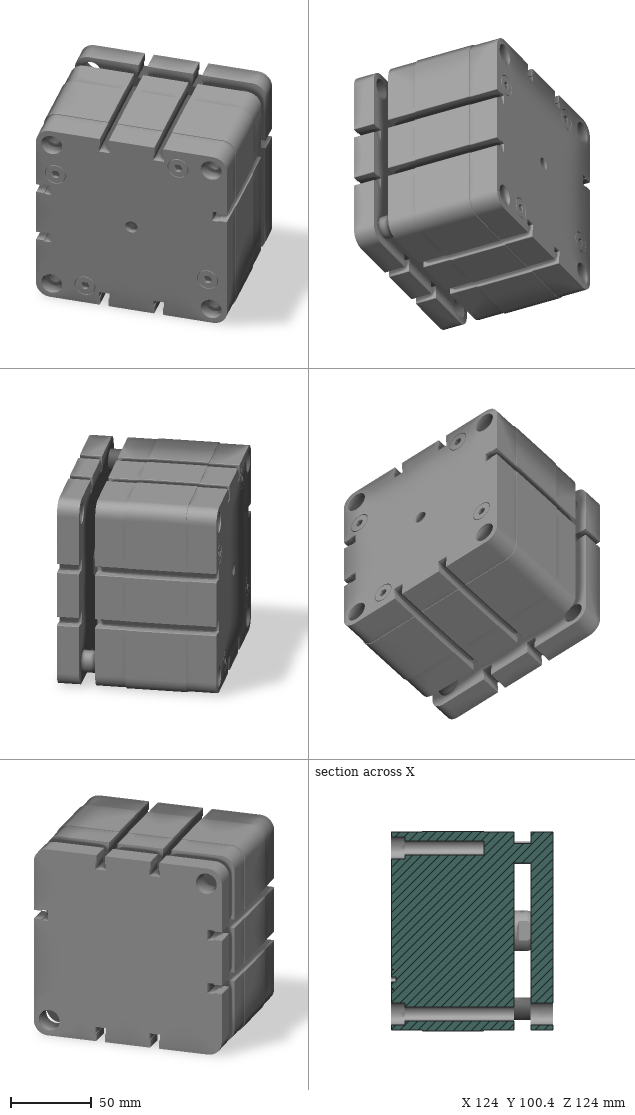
import cadquery as cq
import math

BARREL_WIDTH = 124.0
CAP_WIDTH = 123.1
CORNER_RADIUS = 9.0

CAP_LENGTH = 19.1
BARREL_LENGTH = 38.2
GAP_LENGTH = 10.0
PLATE_THICKNESS = 14.0
BARREL_START = CAP_LENGTH
REAR_CAP_START = BARREL_START + BARREL_LENGTH
BODY_LENGTH = REAR_CAP_START + CAP_LENGTH
PLATE_START = BODY_LENGTH + GAP_LENGTH

SLOT_OFFSET = 17.6
SLOT_NECK_WIDTH = 5.6
SLOT_HEAD_WIDTH = 6.8
SLOT_CHAMFER = 0.2
SLOT_DEPTH = 9.8
SLOT_HEAD_HEIGHT = 4.1
SLOT_FLOOR = BARREL_WIDTH / 2 - SLOT_DEPTH
SLOT_STEP = SLOT_FLOOR + SLOT_HEAD_HEIGHT

HOLE_OFFSET = 51.5
COUNTERBORE_DIAMETER = 13.5
COUNTERBORE_DEPTH = 8.4
HOLE_DIAMETER = 8.4
PLATE_HOLE_DIAMETER = COUNTERBORE_DIAMETER

CENTER_HOLE_DIAMETER = 8.0
CENTER_HOLE_DEPTH = 4.0

SCREW_NEAR = 30.0
SCREW_FAR = 49.1
SCREW_POSITIONS = (
    (SCREW_NEAR, SCREW_FAR),
    (-SCREW_FAR, SCREW_NEAR),
    (-SCREW_NEAR, -SCREW_FAR),
    (SCREW_FAR, -SCREW_NEAR),
)
SCREW_RECESS_DIAMETER = 13.5
SCREW_HEAD_DIAMETER = 12.5
SCREW_RECESS_DEPTH = 1.2
SOCKET_FLATS = 5.0
SOCKET_DEPTH = 2.7

GUIDE_DIAMETER = 14.0
GUIDE_OFFSET = 48.2
PISTON_DIAMETER = 25.0
PISTON_CHAMFER_LENGTH = 1.9
PISTON_CHAMFER_DEPTH = 0.5
FLAT_OFFSET = 11.0
FLAT_LENGTH = 7.0


def rod(diameter, start, length, x=0.0, z=0.0):
    """Cylinder along +Y, starting at Y = start."""
    return cq.Workplane(cq.Solid.makeCylinder(diameter / 2, length, cq.Vector(x, start, z), cq.Vector(0, 1, 0)))


def slot(offset, width, start, length):
    """Stepped slot in the top side of a square block, at X = offset."""
    surface = width / 2
    neck = SLOT_NECK_WIDTH / 2
    head = SLOT_HEAD_WIDTH / 2
    mouth = neck + SLOT_CHAMFER
    right_side = [
        (head, SLOT_FLOOR),
        (head, SLOT_STEP),
        (neck, SLOT_STEP),
        (neck, surface - SLOT_CHAMFER),
        (mouth, surface),
    ]
    left_side = [(-x, z) for x, z in reversed(right_side)]
    profile = cq.Workplane("XZ").polyline(right_side + left_side).close().extrude(-length)
    return profile.translate((offset, start, 0))


def turned(shape, angle):
    """Shape turned about the Y axis."""
    return shape.rotate((0, 0, 0), (0, 1, 0), angle)


def slotted_block(width, start, length):
    """Square block with rounded corners, two slots in each side but only the upper one on +X."""
    block = cq.Workplane("XY").box(width, length, width).edges("|Y").fillet(CORNER_RADIUS)
    block = block.translate((0, start + length / 2, 0))
    for angle in (0, 180, 270):
        for offset in (-SLOT_OFFSET, SLOT_OFFSET):
            block = block.cut(turned(slot(offset, width, start, length), angle))
    return block.cut(turned(slot(-SLOT_OFFSET, width, start, length), 90))


def piston_rod():
    """Piston rod with a chamfered end and two wrench flats facing -X and +X."""
    radius = PISTON_DIAMETER / 2
    shaft = (
        cq.Workplane("XY")
        .moveTo(0, BODY_LENGTH)
        .lineTo(radius, BODY_LENGTH)
        .lineTo(radius, PLATE_START - PISTON_CHAMFER_LENGTH)
        .lineTo(radius - PISTON_CHAMFER_DEPTH, PLATE_START)
        .lineTo(0, PLATE_START)
        .close()
        .revolve(360, (0, 0), (0, 1))
    )
    flat_end = PLATE_START - FLAT_LENGTH
    slope = radius - FLAT_OFFSET
    flat_cut = (
        cq.Workplane("XY")
        .moveTo(FLAT_OFFSET, PLATE_START)
        .lineTo(FLAT_OFFSET, flat_end)
        .lineTo(radius, flat_end - slope)
        .lineTo(radius, PLATE_START)
        .close()
        .extrude(radius, both=True)
    )
    return shaft.cut(flat_cut).cut(turned(flat_cut, 180))


def screw_cut(x, z):
    """Ring gap around a flush screw head, with its hexagon socket."""
    recess = rod(SCREW_RECESS_DIAMETER, 0, SCREW_RECESS_DEPTH, x, z)
    head = rod(SCREW_HEAD_DIAMETER, 0, SCREW_RECESS_DEPTH, x, z)
    corner_diameter = SOCKET_FLATS / math.cos(math.pi / 6)
    socket = cq.Workplane("XZ").center(x, z).polygon(6, corner_diameter).extrude(-SOCKET_DEPTH)
    return recess.cut(head).union(socket)


part = slotted_block(BARREL_WIDTH, BARREL_START, BARREL_LENGTH)
for start, length in (
    (0, CAP_LENGTH),
    (REAR_CAP_START, CAP_LENGTH),
    (PLATE_START, PLATE_THICKNESS),
):
    part = part.union(slotted_block(CAP_WIDTH, start, length))

for side in (-1, 1):
    x = side * HOLE_OFFSET
    for z in (-x, x):
        part = part.cut(rod(COUNTERBORE_DIAMETER, 0, COUNTERBORE_DEPTH, x, z))
        part = part.cut(rod(HOLE_DIAMETER, 0, REAR_CAP_START, x, z))
    part = part.cut(rod(HOLE_DIAMETER, 0, BODY_LENGTH, x, -x))
    part = part.cut(rod(PLATE_HOLE_DIAMETER, PLATE_START, PLATE_THICKNESS, x, -x))

part = part.cut(rod(CENTER_HOLE_DIAMETER, 0, CENTER_HOLE_DEPTH))

for x, z in SCREW_POSITIONS:
    part = part.cut(screw_cut(x, z))

for side in (-1, 1):
    offset = side * GUIDE_OFFSET
    part = part.union(rod(GUIDE_DIAMETER, BODY_LENGTH, GAP_LENGTH, offset, offset))
part = part.union(piston_rod())

result = part